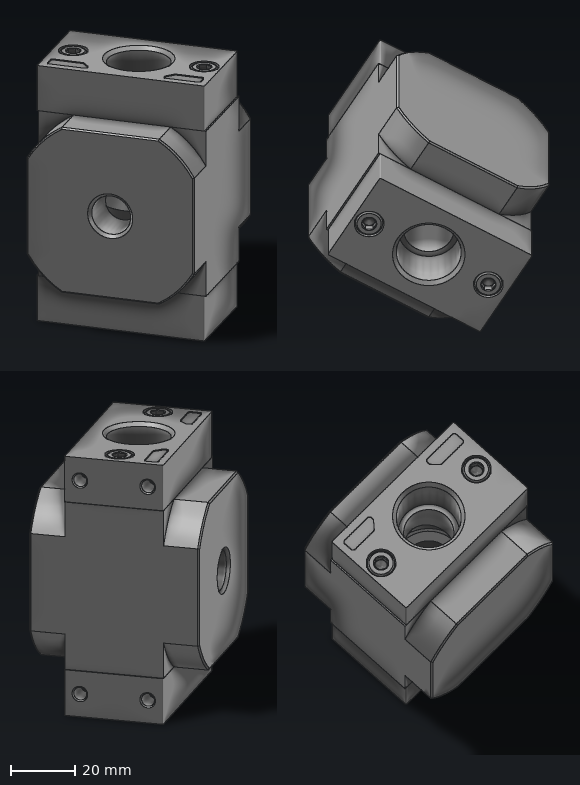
import cadquery as cq
import math

BODY_SIZE = 55.0
BODY_DEPTH = 55.0
CENTRE_DEPTH = 32.0
FLANGE_CORNER_DIA = 63.6
FLANGE_CHAMFER = 0.5

OVERALL_HEIGHT = 85.0
BLOCK_WIDTH = 55.0
BLOCK_DEPTH = CENTRE_DEPTH
BLOCK_HEIGHT = (OVERALL_HEIGHT - BODY_SIZE) / 2
BLOCK_OFFSET_X = -0.5
BLOCK_EDGE_RADIUS = 0.4

PASSAGE_DIA = 15.6

PORT_CHAMFER_DIA = 22.5
PORT_TOP_DIA = 20.15
PORT_BOTTOM_DIA = 19.1
PORT_CHAMFER_DEPTH = 1.2

FRONT_CHAMFER_DIA = 14.8
FRONT_OUTER_DIA = 12.75
FRONT_INNER_DIA = 11.6
FRONT_CHAMFER_DEPTH = 1.0

CHAMBER_DIA = 30.0
CHAMBER_DEPTH = 30.0
SEAT_DIA = 26.4
SEAT_TIP_DIA = 22.0
SEAT_TIP_Z = 0.0
SEAT_CONE_HEIGHT = 3.5

SIDE_HOLE_DIA = 4.2
SIDE_HOLE_CHAMFER_DIA = 5.0
SIDE_HOLE_DEPTH = 8.5
SIDE_HOLE_Y = 11.0

SCREW_X = 21.5
SCREW_RECESS_DIA = 9.2
SCREW_HEAD_DIA = 8.5
SCREW_HEAD_TOP_DIA = 7.5
SCREW_HEAD_HEIGHT = 5.0
SCREW_SHANK_DIA = 5.0
SCREW_SHANK_LENGTH = 18.0
SCREW_HEAD_SINK = 0.1
SOCKET_FLATS = 4.0
SOCKET_SIDES = 6
SOCKET_TURN = 30.0
SOCKET_CHAMFER_DIA = 4.8
SOCKET_CHAMFER_DEPTH = 0.25
SOCKET_DEPTH = 2.5
SOCKET_POINT_DEPTH = 1.0

LABEL_DEPTH = 0.3
LABEL_MARGIN_X = 2.4
LABEL_INNER_X = 12.7
LABEL_SLANT_RUN = 2.4
LABEL_TOP_Y = -9.0
LABEL_SLANT_Y = -11.65
LABEL_BOTTOM_Y = -13.4
LABEL_CORNER_RADIUS = 0.85

BODY_TOP = BODY_SIZE / 2
BLOCK_TOP = OVERALL_HEIGHT / 2
BLOCK_LEFT = BLOCK_OFFSET_X - BLOCK_WIDTH / 2
BLOCK_RIGHT = BLOCK_OFFSET_X + BLOCK_WIDTH / 2
SCREW_HEAD_TOP = BLOCK_TOP - SCREW_HEAD_SINK
SCREW_SEAT = SCREW_HEAD_TOP - SCREW_HEAD_HEIGHT
SCREW_TIP = SCREW_SEAT - SCREW_SHANK_LENGTH


def cylinder(dia, z_low, z_high):
    """Cylinder on the Z axis."""
    return cq.Workplane("XY").workplane(offset=z_low).circle(dia / 2).extrude(z_high - z_low)


def cone(dia_low, dia_high, z_low, z_high):
    """Truncated cone on the Z axis."""
    solid = cq.Solid.makeCone(dia_low / 2, dia_high / 2, z_high - z_low, cq.Vector(0, 0, z_low))
    return cq.Workplane(obj=solid)


def place_at_screws(shape):
    """One copy of a shape at each screw of the top block."""
    return [shape.translate((side * SCREW_X, 0, 0)) for side in (-1, 1)]


def tapered_port(chamfer_dia, outer_dia, inner_dia, chamfer_depth, z_inner, z_outer):
    """Cutter for a tapered hole, entered from z_outer through a chamfer."""
    z_chamfer = z_outer - chamfer_depth
    taper = cone(inner_dia, outer_dia, z_inner, z_chamfer)
    return taper.union(cone(outer_dia, chamfer_dia, z_chamfer, z_outer))


def make_seat_tube():
    """Valve seat: a tube from the chamber floor with a conical upper end."""
    cone_base = SEAT_TIP_Z - SEAT_CONE_HEIGHT
    tube = cylinder(SEAT_DIA, -BODY_TOP, cone_base)
    return tube.union(cone(SEAT_DIA, SEAT_TIP_DIA, cone_base, SEAT_TIP_Z))


def make_body():
    centre = cq.Workplane("XY").box(BODY_SIZE, CENTRE_DEPTH, BODY_SIZE)
    flange_disc = cq.Workplane("XZ").circle(FLANGE_CORNER_DIA / 2).extrude(BODY_DEPTH / 2, both=True)
    flanges = cq.Workplane("XY").box(BODY_SIZE, BODY_DEPTH, BODY_SIZE).intersect(flange_disc)
    flanges = flanges.faces("<Y or >Y").chamfer(FLANGE_CHAMFER)
    body = centre.union(flanges)

    chamber = cq.Workplane("XZ").circle(CHAMBER_DIA / 2).extrude(CHAMBER_DEPTH / 2, both=True)
    body = body.cut(chamber.cut(make_seat_tube()))
    body = body.cut(cylinder(PASSAGE_DIA, -BODY_TOP, BODY_TOP))

    front_port = tapered_port(
        FRONT_CHAMFER_DIA, FRONT_OUTER_DIA, FRONT_INNER_DIA, FRONT_CHAMFER_DEPTH,
        CHAMBER_DEPTH / 2, BODY_DEPTH / 2,
    )
    body = body.cut(front_port.rotate((0, 0, 0), (1, 0, 0), 90))

    for hole in place_at_screws(cylinder(SCREW_SHANK_DIA, SCREW_TIP, BODY_TOP)):
        body = body.cut(hole).cut(hole.mirror("XY"))
    return body


def make_block():
    """Port block in the upper position, without labels."""
    block = cq.Workplane("XY").box(BLOCK_WIDTH, BLOCK_DEPTH, BLOCK_HEIGHT)
    block = block.edges("|Z").fillet(BLOCK_EDGE_RADIUS)
    block = block.translate((BLOCK_OFFSET_X, 0, BODY_TOP + BLOCK_HEIGHT / 2))
    block = block.cut(tapered_port(
        PORT_CHAMFER_DIA, PORT_TOP_DIA, PORT_BOTTOM_DIA, PORT_CHAMFER_DEPTH, BODY_TOP, BLOCK_TOP,
    ))

    recess = cylinder(SCREW_RECESS_DIA, SCREW_SEAT, BLOCK_TOP)
    recess = recess.union(cylinder(SCREW_SHANK_DIA, BODY_TOP, SCREW_SEAT))
    for cutter in place_at_screws(recess):
        block = block.cut(cutter)

    chamfer_depth = (SIDE_HOLE_CHAMFER_DIA - SIDE_HOLE_DIA) / 2
    side_hole = cylinder(SIDE_HOLE_DIA, 0, SIDE_HOLE_DEPTH)
    side_hole = side_hole.union(cone(SIDE_HOLE_CHAMFER_DIA, SIDE_HOLE_DIA, 0, chamfer_depth))
    side_hole = side_hole.rotate((0, 0, 0), (0, 1, 0), 90)
    for y in (-SIDE_HOLE_Y, SIDE_HOLE_Y):
        block = block.cut(side_hole.translate((BLOCK_LEFT, y, BODY_TOP + BLOCK_HEIGHT / 2)))
    return block


def make_label(side, outer_x):
    """Cutter for a label recess on the left (-1) or right (1) side of the top block."""
    inner_x = side * LABEL_INNER_X
    outline = [
        (outer_x, LABEL_TOP_Y),
        (inner_x + side * LABEL_SLANT_RUN, LABEL_TOP_Y),
        (inner_x, LABEL_SLANT_Y),
        (inner_x, LABEL_BOTTOM_Y),
        (outer_x, LABEL_BOTTOM_Y),
    ]
    label = cq.Workplane("XY").workplane(offset=BLOCK_TOP - LABEL_DEPTH).polyline(outline).close()
    return label.extrude(LABEL_DEPTH).edges("|Z").fillet(LABEL_CORNER_RADIUS)


def make_top_block():
    block = make_block()
    block = block.cut(make_label(-1, BLOCK_LEFT + LABEL_MARGIN_X))
    return block.cut(make_label(1, BLOCK_RIGHT - LABEL_MARGIN_X))


def make_screw():
    """Cap screw on the Z axis, at the height it has in the top block."""
    chamfer_depth = (SCREW_HEAD_DIA - SCREW_HEAD_TOP_DIA) / 2
    head = cylinder(SCREW_HEAD_DIA, SCREW_SEAT, SCREW_HEAD_TOP).faces(">Z").chamfer(chamfer_depth)
    screw = head.union(cylinder(SCREW_SHANK_DIA, SCREW_TIP, SCREW_SEAT))

    socket_corners = SOCKET_FLATS / math.cos(math.pi / SOCKET_SIDES)
    socket_floor = SCREW_HEAD_TOP - SOCKET_DEPTH
    socket = cq.Workplane("XY").polygon(SOCKET_SIDES, socket_corners).extrude(SOCKET_DEPTH)
    socket = socket.rotate((0, 0, 0), (0, 0, 1), SOCKET_TURN).translate((0, 0, socket_floor))
    socket_point = cone(0, SOCKET_FLATS, socket_floor - SOCKET_POINT_DEPTH, socket_floor)
    socket_chamfer = cone(
        SOCKET_FLATS, SOCKET_CHAMFER_DIA, SCREW_HEAD_TOP - SOCKET_CHAMFER_DEPTH, SCREW_HEAD_TOP,
    )
    return screw.cut(socket).cut(socket_point).cut(socket_chamfer)


body = make_body()
top_block = make_top_block()
bottom_block = make_block().mirror("XY")
top_screws = place_at_screws(make_screw())
bottom_screws = [screw.mirror("XY") for screw in top_screws]

result = cq.Compound.makeCompound([
    body.val(),
    top_block.val(),
    bottom_block.val(),
    *[screw.val() for screw in top_screws + bottom_screws],
])